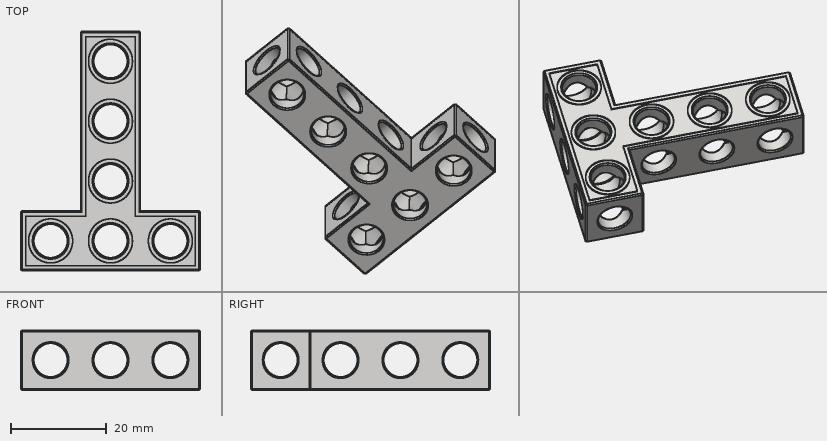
import cadquery as cq

CELL = 12.5
BAR_CELLS = 3
LENGTH_CELLS = 4
STEM_COLUMN = 1

HOLE_DIAMETER = 7.0
HOLE_CHAMFER = 0.3
EDGE_CHAMFER = 0.3

RIM_WIDTH = 1.1
RING_DIAMETER = 9.2
RECESS_DEPTH = 0.2

BAR_LENGTH = BAR_CELLS * CELL
TOTAL_LENGTH = LENGTH_CELLS * CELL
HALF_CELL = CELL / 2


def cell_center(index):
    return (index + 0.5) * CELL


STEM_X = cell_center(STEM_COLUMN)
BAR_Y = cell_center(0)
BAR_HOLE_XS = [cell_center(i) for i in range(BAR_CELLS)]
STEM_HOLE_YS = [cell_center(i) for i in range(LENGTH_CELLS)]
VERTICAL_HOLES = [(x, BAR_Y) for x in BAR_HOLE_XS] + [(STEM_X, y) for y in STEM_HOLE_YS[1:]]


def tee_prism(inset, bottom, height):
    """T-shaped prism whose outline lies inset from the outer side faces."""
    bar = cq.Workplane("XY").box(
        BAR_LENGTH - 2 * inset, CELL - 2 * inset, height, centered=(True, True, False)
    ).translate((BAR_LENGTH / 2, BAR_Y, bottom))
    stem = cq.Workplane("XY").box(
        CELL - 2 * inset, TOTAL_LENGTH - 2 * inset, height, centered=(True, True, False)
    ).translate((STEM_X, TOTAL_LENGTH / 2, bottom))
    return bar.union(stem)


def through_hole(start, direction, length):
    """Cutter for a straight hole with a conical chamfer at both mouths."""
    radius = HOLE_DIAMETER / 2
    mouth_radius = radius + HOLE_CHAMFER
    origin = cq.Vector(*start)
    axis = cq.Vector(*direction)
    end = origin + axis * length
    bore = cq.Solid.makeCylinder(radius, length, origin, axis)
    entry = cq.Solid.makeCone(mouth_radius, radius, HOLE_CHAMFER, origin, axis)
    leave = cq.Solid.makeCone(mouth_radius, radius, HOLE_CHAMFER, end, axis * -1)
    return bore.fuse(entry, leave)


body = tee_prism(0, 0, CELL)
inner_corner_edges = cq.selectors.BoxSelector(
    (STEM_X - CELL, CELL - EDGE_CHAMFER, HALF_CELL - EDGE_CHAMFER),
    (STEM_X + CELL, CELL + EDGE_CHAMFER, HALF_CELL + EDGE_CHAMFER),
)
outer_edges = cq.selectors.InverseSelector(inner_corner_edges)
body = body.edges(outer_edges).chamfer(EDGE_CHAMFER)

recess_floor = CELL - RECESS_DEPTH
rings = (
    cq.Workplane("XY", origin=(0, 0, recess_floor))
    .pushPoints(VERTICAL_HOLES)
    .circle(RING_DIAMETER / 2)
    .extrude(RECESS_DEPTH)
)
body = body.cut(tee_prism(RIM_WIDTH, recess_floor, RECESS_DEPTH).cut(rings))

for x, y in VERTICAL_HOLES:
    body = body.cut(cq.Workplane(through_hole((x, y, 0), (0, 0, 1), CELL)))

for column, x in enumerate(BAR_HOLE_XS):
    length = TOTAL_LENGTH if column == STEM_COLUMN else CELL
    body = body.cut(cq.Workplane(through_hole((x, 0, HALF_CELL), (0, 1, 0), length)))

for y in STEM_HOLE_YS:
    body = body.cut(cq.Workplane(through_hole((STEM_X - HALF_CELL, y, HALF_CELL), (1, 0, 0), CELL)))

body = body.cut(cq.Workplane(through_hole((0, BAR_Y, HALF_CELL), (1, 0, 0), BAR_LENGTH)))

result = body